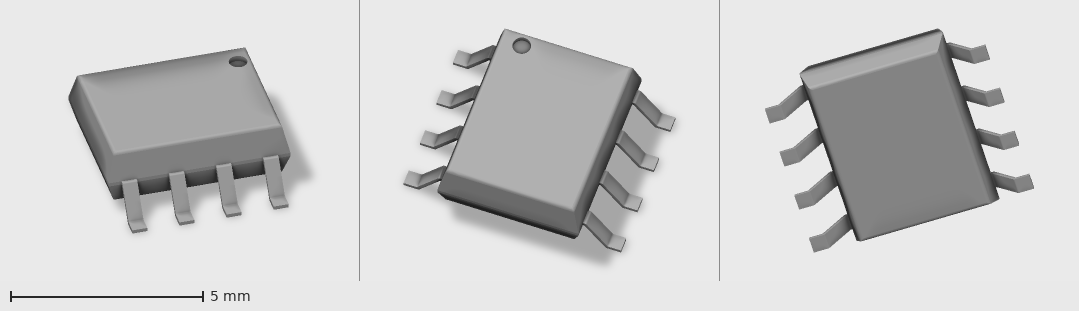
import cadquery as cq
import math

LEAD_SPAN = 6.0
BODY_LENGTH = 4.91
BODY_WIDTH = 3.895
TOTAL_HEIGHT = 1.75
STANDOFF = 0.2

BAND_HEIGHT = 0.1
BAND_TOP = 0.935
BAND_BOTTOM = BAND_TOP - BAND_HEIGHT
TAPER_INSET = 0.19
EDGE_RADIUS = 0.095

LEADS_PER_SIDE = 4
LEAD_PITCH = 1.27
LEAD_WIDTH = 0.4
LEAD_THICKNESS = BAND_HEIGHT
FOOT_LENGTH = 0.365
SHOULDER_LENGTH = 0.09
BEND_RADIUS = 0.05

MARK_DIAMETER = 0.485
MARK_DEPTH = 0.16
MARK_X = -1.17
FIRST_LEAD_Y = LEAD_PITCH * (LEADS_PER_SIDE - 1) / 2


def tapered_half(start_z, end_z):
    """Rectangular frustum from the parting band to the top or bottom face."""
    return (
        cq.Workplane("XY", origin=(0, 0, start_z))
        .rect(BODY_WIDTH, BODY_LENGTH)
        .workplane(offset=end_z - start_z)
        .rect(BODY_WIDTH - 2 * TAPER_INSET, BODY_LENGTH - 2 * TAPER_INSET)
        .loft(ruled=True)
    )


def make_body():
    """Moulded body with the round pin 1 mark sunk in its top face."""
    band = cq.Workplane("XY", origin=(0, 0, BAND_BOTTOM)).box(
        BODY_WIDTH, BODY_LENGTH, BAND_HEIGHT, centered=(True, True, False)
    )
    body = band.union(tapered_half(BAND_TOP, TOTAL_HEIGHT))
    body = body.union(tapered_half(BAND_BOTTOM, STANDOFF))
    body = body.faces(">Z").edges().fillet(EDGE_RADIUS)
    body = body.faces("<Z").edges().fillet(EDGE_RADIUS)
    mark = (
        cq.Workplane("XY", origin=(MARK_X, FIRST_LEAD_Y, TOTAL_HEIGHT))
        .circle(MARK_DIAMETER / 2)
        .extrude(-MARK_DEPTH)
    )
    return body.cut(mark)


def make_lead():
    """Gull-wing lead on the -X side, centred on Y = 0, ending at the body's band."""
    toe_x = -LEAD_SPAN / 2
    root_x = -BODY_WIDTH / 2
    heel_x = toe_x + FOOT_LENGTH
    shoulder_x = root_x - SHOULDER_LENGTH
    slope = math.atan2(BAND_TOP - LEAD_THICKNESS, shoulder_x - heel_x)
    bend_shift = LEAD_THICKNESS * math.tan(slope / 2)
    heel_under_x = heel_x + bend_shift
    shoulder_under_x = shoulder_x + bend_shift

    strip = (
        cq.Workplane("XZ", origin=(0, LEAD_WIDTH / 2, 0))
        .moveTo(toe_x, 0)
        .lineTo(heel_under_x, 0)
        .lineTo(shoulder_under_x, BAND_BOTTOM)
        .lineTo(root_x, BAND_BOTTOM)
        .lineTo(root_x, BAND_TOP)
        .lineTo(shoulder_x, BAND_TOP)
        .lineTo(heel_x, LEAD_THICKNESS)
        .lineTo(toe_x, LEAD_THICKNESS)
        .close()
        .extrude(LEAD_WIDTH)
    )

    bend_zone = cq.selectors.BoxSelector(
        ((toe_x + heel_x) / 2, -LEAD_WIDTH, -LEAD_THICKNESS),
        ((shoulder_under_x + root_x) / 2, LEAD_WIDTH, TOTAL_HEIGHT),
    )
    return strip.edges("|Y").edges(bend_zone).fillet(BEND_RADIUS)


def make_leads():
    """Both rows of leads, each lead a separate solid."""
    left_lead = make_lead()
    leads = []
    for index in range(LEADS_PER_SIDE):
        y = FIRST_LEAD_Y - index * LEAD_PITCH
        left = left_lead.translate((0, y, 0))
        right = left.mirror("YZ")
        leads.append(left.val())
        leads.append(right.val())
    return leads


body = make_body()
leads = make_leads()
result = cq.Compound.makeCompound([body.val(), *leads])